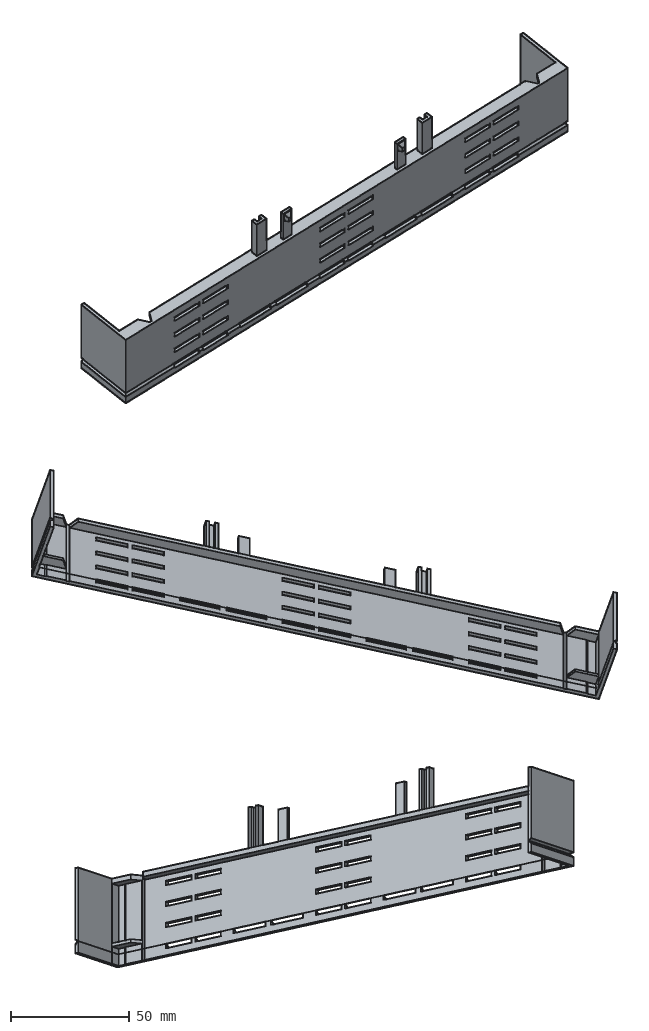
import cadquery as cq

length = 249.5
depth = 28.5
wall_height = 37.5
total_height = 56.0

back_thickness = 1.8
corner_thickness = 1.55
corner_width = 6.0
corner_bevel = 0.75
panel_thickness = 1.65
panel_root_thickness = 1.8
flange_depth = corner_width
flange_thickness = 2.25

shelf_top = 9.0
shelf_thickness = 1.5

fold_inset = 15.4
fold_web = 1.5
fold_floor_width = 1.2
fold_mouth_width = 6.6

groove_bottom = 3.75
groove_tip = 5.2
groove_top = 6.0
groove_depth = 1.4

slot_height = 2.0
slot_bottom_row = 4.1
slot_row_pitch = 9.25
slot_rows = 4
slot_group_pitch = 82.0
short_slot_length = 14.0
short_slot_gap = 2.0
long_slot_length = 17.5
long_slot_gap = 3.0

channel_offset = 46.7
channel_width = 5.5
channel_front = 23.75
channel_back = 27.0
channel_wall = 1.5
channel_hollow_depth = 1.75
tab_offset = 32.1
tab_width = 4.8
tab_front = 25.5
tab_back = 27.0
tab_top = 52.75
barb_root_width = 3.75
barb_tip_width = 1.5
barb_bottom = 48.25
barb_tip_top = 50.25
barb_top = 52.25

half_length = length / 2
flange_front = depth - flange_depth
back_front = depth - back_thickness


def block(x0, x1, y0, y1, z0, z1):
    """Box between two opposite corners."""
    return cq.Workplane("XY").box(x1 - x0, y1 - y0, z1 - z0, centered=False).translate((x0, y0, z0))


def plan_prism(points, z0, z1):
    """Upright prism from an XY outline."""
    return cq.Workplane("XY").polyline(points).close().extrude(z1 - z0).translate((0, 0, z0))


def both_ends(solid):
    """The solid together with its mirror image at the other Y end."""
    return solid.union(solid.mirror("XZ"))


def back_wall_and_flange():
    """Back wall, thinner at both ends, with the flange along its top edge."""
    thick_end = half_length - corner_width
    thin_start = thick_end + corner_bevel
    corner_front = depth - corner_thickness
    outline = [
        (depth, -half_length),
        (depth, half_length),
        (corner_front, half_length),
        (corner_front, thin_start),
        (back_front, thick_end),
        (back_front, -thick_end),
        (corner_front, -thin_start),
        (corner_front, -half_length),
    ]
    wall = plan_prism(outline, 0, wall_height)
    flange = block(
        flange_front, depth, -half_length, half_length, wall_height - flange_thickness, wall_height
    )
    return wall.union(flange)


def end_panel():
    """End wall along X, slightly thicker in the corner zone."""
    panel = block(0, depth, half_length - panel_thickness, half_length, 0, wall_height)
    root = block(flange_front, depth, half_length - panel_root_thickness, half_length, 0, wall_height)
    return panel.union(root)


def corner_shelf():
    """Small shelf between the end panel and the folding groove."""
    return block(
        flange_front, depth, half_length - fold_inset, half_length, shelf_top - shelf_thickness, shelf_top
    )


def fold_groove():
    """Blunt V-groove that runs the full height, open towards -X."""
    axis = half_length - fold_inset
    floor = depth - fold_web
    outline = [
        (floor, axis - fold_floor_width / 2),
        (floor, axis + fold_floor_width / 2),
        (flange_front, axis + fold_mouth_width / 2),
        (flange_front, axis - fold_mouth_width / 2),
    ]
    return plan_prism(outline, 0, wall_height)


def groove_profile(plane):
    """Groove section: the outer face is at zero and negative values lie inside the wall."""
    points = [(0, groove_bottom), (-groove_depth, groove_tip), (0, groove_top)]
    return cq.Workplane(plane).polyline(points).close()


def end_snap_groove():
    return groove_profile("YZ").extrude(depth).translate((0, half_length, 0))


def back_snap_groove():
    return groove_profile("XZ").extrude(length).translate((depth, half_length, 0))


def slot_pair(y_centre, z_centre, slot_length, gap):
    """Two slots through the back wall, end to end along Y."""
    z0 = z_centre - slot_height / 2
    z1 = z_centre + slot_height / 2
    left = block(back_front, depth, y_centre - gap / 2 - slot_length, y_centre - gap / 2, z0, z1)
    right = block(back_front, depth, y_centre + gap / 2, y_centre + gap / 2 + slot_length, z0, z1)
    return left.union(right)


def channel():
    """U-shaped upright, open towards -X."""
    y0 = channel_offset - channel_width / 2
    y1 = channel_offset + channel_width / 2
    post = block(channel_front, channel_back, y0, y1, wall_height, total_height)
    hollow = block(
        channel_front,
        channel_front + channel_hollow_depth,
        y0 + channel_wall,
        y1 - channel_wall,
        wall_height,
        total_height,
    )
    return post.cut(hollow)


def snap_tab():
    """Flat upright with a barb on its +X face."""
    y0 = tab_offset - tab_width / 2
    post = block(tab_front, tab_back, y0, y0 + tab_width, wall_height, tab_top)
    barb_depth = depth - tab_back
    barb = (
        cq.Workplane("YZ", origin=(tab_back, tab_offset, barb_bottom))
        .rect(barb_root_width, 2 * (barb_top - barb_bottom))
        .workplane(offset=barb_depth)
        .rect(barb_tip_width, 2 * (barb_tip_top - barb_bottom))
        .loft()
    )
    below_barb = block(tab_back, depth, y0, y0 + tab_width, 0, barb_bottom)
    return post.union(barb.cut(below_barb))


result = back_wall_and_flange()
for feature in (end_panel(), corner_shelf(), channel(), snap_tab()):
    result = result.union(both_ends(feature))

for groove in (fold_groove(), end_snap_groove()):
    result = result.cut(both_ends(groove))
result = result.cut(back_snap_groove())

for group in (-1, 0, 1):
    for row in range(slot_rows):
        height = slot_bottom_row + row * slot_row_pitch
        result = result.cut(slot_pair(group * slot_group_pitch, height, short_slot_length, short_slot_gap))

for side in (-1, 1):
    between_groups = side * slot_group_pitch / 2
    result = result.cut(slot_pair(between_groups, slot_bottom_row, long_slot_length, long_slot_gap))